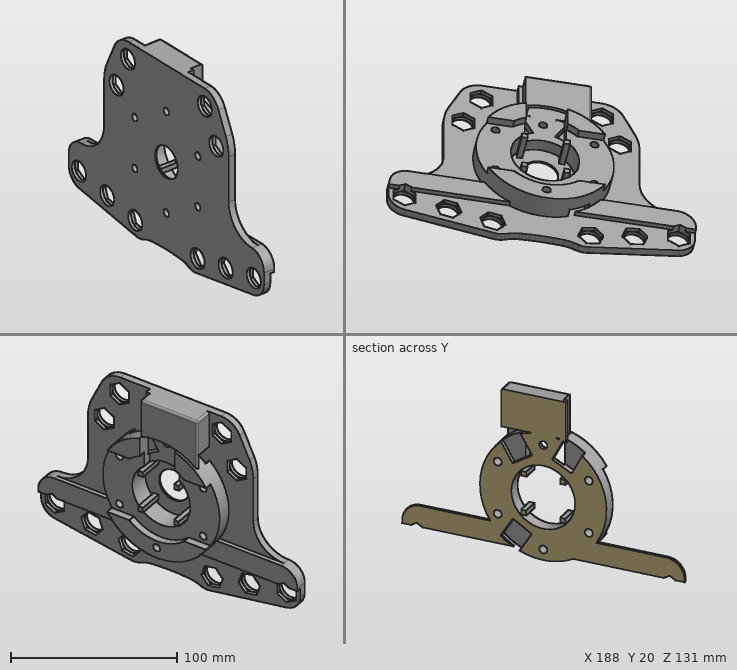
import cadquery as cq
import math


plate_thickness = 5.0
top_z = 67.0
body_half_width = 60.0
wing_half_width = 94.0
wing_top_z = -23.0
wing_tip_radius = 12.0
half_outline = [
    (46.0, top_z, 15.0),
    (body_half_width, 37.0, 30.0),
    (body_half_width, wing_top_z, 22.0),
    (wing_half_width, wing_top_z, wing_tip_radius),
    (wing_half_width, -53.15, wing_tip_radius),
    (25.4, -64.4, 12.0),
    (16.7, -60.95, 20.0),
]
arch_corner = (0.0, -60.0, 130.0)

nut_hole_diameter = 13.5
nut_width_across_flats = 13.7
nut_pocket_start_y = 2.5
lower_row_tilt = 10.8
upright_nut_tilt = 30.0
nut_holes = [
    (37.0, 54.75, upright_nut_tilt),
    (48.0, 32.1, upright_nut_tilt),
    (84.1, -43.0, upright_nut_tilt),
    (57.0, -48.1, lower_row_tilt),
    (30.0, -53.3, lower_row_tilt),
]

bolt_circle_radius = 35.0
bolt_hole_diameter = 5.0
bolt_count = 6

hub_radius = 42.3
hub_low_y = 15.0
hub_high_y = 20.0
side_notch_half_height = 22.5
cavity_radius = 21.0
rim_radius = 30.0
cavity_start_y = 1.2
hub_hole_diameter = 21.8
peg_size = 3.5
peg_offset = 13.0
peg_end_y = 18.0

window_inner_radius = 26.5
windows = [
    (62.0, 14.4, 10.5),
    (238.0, 14.4, 10.5),
    (121.5, 15.0, 9.0),
]

bar_bottom_z = -37.3
bar_back_y = 8.0

box_left_x = -28.0
box_right_x = 12.4
box_back_y = 18.0
box_wall = 2.0
box_edge_radius = 1.5
side_wall_bottom_z = 41.5
lid_bottom_z = 32.0
hub_gap_left_x = -13.0
ledge_right_x = 15.0
box_floor_y = 9.0


def block(x_range, y_range, z_range):
    """Box spanning the three given (low, high) ranges."""
    sizes = [high - low for low, high in (x_range, y_range, z_range)]
    corner = (x_range[0], y_range[0], z_range[0])
    return cq.Workplane("XY").box(*sizes, centered=False).translate(corner)


def cylinder(x, z, diameter, y_start, y_end):
    """Cylinder along Y."""
    base = cq.Workplane("XZ", origin=(x, y_start, z))
    return base.circle(diameter / 2).extrude(y_start - y_end)


def rounded_corner(before, corner, after):
    """Start, middle and end of the arc that rounds a polygon corner."""
    point = cq.Vector(corner[0], corner[1])
    to_before = (cq.Vector(before[0], before[1]) - point).normalized()
    to_after = (cq.Vector(after[0], after[1]) - point).normalized()
    half_angle = to_before.getAngle(to_after) / 2
    radius = corner[2]
    tangent_length = radius / math.tan(half_angle)
    middle_distance = radius / math.sin(half_angle) - radius
    start = point + to_before * tangent_length
    middle = point + (to_before + to_after).normalized() * middle_distance
    end = point + to_after * tangent_length
    return [vector.toTuple()[:2] for vector in (start, middle, end)]


def make_plate():
    mirrored = [(-x, z, radius) for x, z, radius in reversed(half_outline)]
    corners = half_outline + [arch_corner] + mirrored
    outline = cq.Workplane("XZ")
    for index, corner in enumerate(corners):
        following = corners[(index + 1) % len(corners)]
        start, middle, end = rounded_corner(corners[index - 1], corner, following)
        if index == 0:
            outline = outline.moveTo(*start)
        elif math.dist(start, last_end) > 0.01:
            outline = outline.lineTo(*start)
        outline = outline.threePointArc(middle, end)
        last_end = end
    return outline.close().extrude(-plate_thickness)


def make_wing_bar():
    bar = block(
        (-wing_half_width, wing_half_width),
        (plate_thickness, bar_back_y),
        (bar_bottom_z, wing_top_z),
    )
    return bar.edges("|Y and >Z").fillet(wing_tip_radius).cut(hub_envelope())


def hub_envelope():
    return cylinder(0, 0, 2 * hub_radius, plate_thickness, hub_high_y)


def make_window(angle, width, top_y):
    """Radial slot through the outer face of the hub."""
    window = block(
        (window_inner_radius, hub_radius),
        (plate_thickness, top_y),
        (-width / 2, width / 2),
    )
    return window.rotate((0, 0, 0), (0, 1, 0), -angle)


def make_hub():
    side_notch = block(
        (-hub_radius, hub_radius),
        (hub_low_y, hub_high_y),
        (-side_notch_half_height, side_notch_half_height),
    )
    box_gap = block((hub_gap_left_x, box_right_x), (box_floor_y, hub_high_y), (0, hub_radius))
    hub = hub_envelope().cut(side_notch).cut(box_gap)
    for angle, width, top_y in windows:
        hub = hub.cut(make_window(angle, width, top_y))
    return hub


def make_pegs():
    half = peg_size / 2
    pegs = cq.Workplane("XY")
    for x in (-peg_offset, peg_offset):
        for z in (-peg_offset, peg_offset):
            peg = block((x - half, x + half), (cavity_start_y, peg_end_y), (z - half, z + half))
            pegs = pegs.add(peg)
    return pegs.combine()


def make_box():
    shell = block((box_left_x, box_right_x), (plate_thickness, box_back_y), (lid_bottom_z, top_z))
    shell = shell.edges("(<X and >Y) or (<X and >Z) or (>Y and >Z)").fillet(box_edge_radius)
    inside = block(
        (box_left_x + box_wall, box_right_x - box_wall),
        (plate_thickness, box_back_y - box_wall),
        (lid_bottom_z, top_z - box_wall),
    )
    below_side_wall = block(
        (box_left_x, box_right_x - box_wall),
        (plate_thickness, box_back_y - box_wall),
        (lid_bottom_z, side_wall_bottom_z),
    )
    floor = block(
        (box_left_x + box_wall, ledge_right_x),
        (plate_thickness, box_floor_y),
        (side_wall_bottom_z, top_z),
    )
    ledge_foot = block(
        (box_right_x, ledge_right_x),
        (plate_thickness, box_floor_y),
        (lid_bottom_z, side_wall_bottom_z),
    )
    box = shell.cut(inside).cut(below_side_wall).union(floor).union(ledge_foot)
    return box.cut(hub_envelope())


def make_nut_hole(x, z, tilt):
    """Round hole opening into a hexagonal pocket at the back."""
    corner_diameter = nut_width_across_flats / math.cos(math.pi / 6)
    pocket = cq.Workplane("XZ").polygon(6, corner_diameter).extrude(nut_pocket_start_y - bar_back_y)
    pocket = pocket.rotate((0, 0, 0), (0, 1, 0), -tilt).translate((x, nut_pocket_start_y, z))
    return cylinder(x, z, nut_hole_diameter, 0, bar_back_y).union(pocket)


def drill_holes(body):
    for x, z, tilt in nut_holes:
        body = body.cut(make_nut_hole(x, z, tilt))
        body = body.cut(make_nut_hole(-x, z, -tilt))
    for index in range(bolt_count):
        angle = math.radians(90 + index * 360 / bolt_count)
        x = bolt_circle_radius * math.cos(angle)
        z = bolt_circle_radius * math.sin(angle)
        body = body.cut(cylinder(x, z, bolt_hole_diameter, 0, hub_high_y))
    return body


body = make_plate().union(make_wing_bar()).union(make_hub()).union(make_box())
body = body.cut(cylinder(0, 0, 2 * cavity_radius, cavity_start_y, hub_high_y))
body = body.cut(cylinder(0, 0, 2 * rim_radius, hub_low_y, hub_high_y))
body = body.cut(cylinder(0, 0, hub_hole_diameter, 0, cavity_start_y))
result = drill_holes(body.union(make_pegs()))